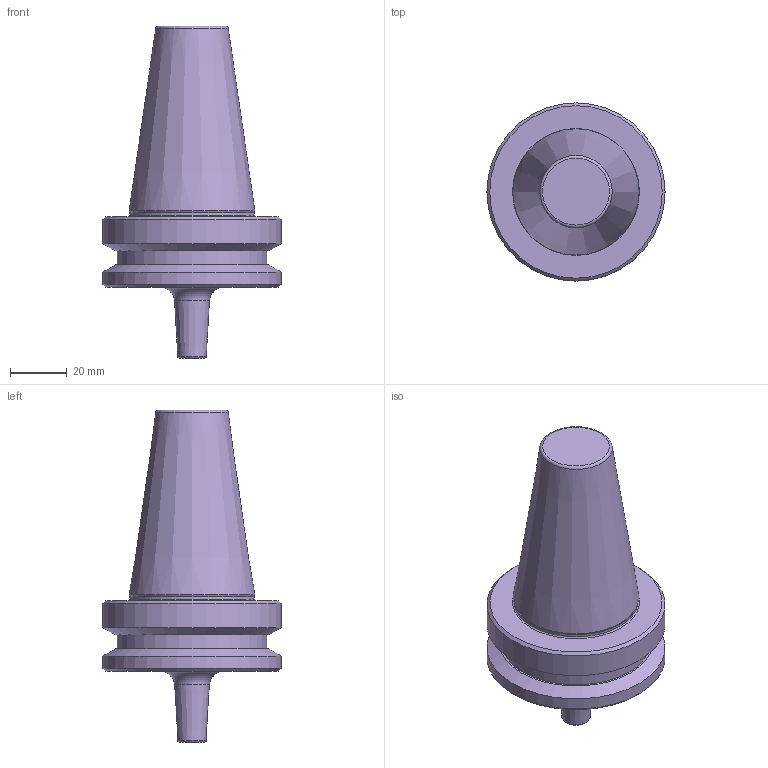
import cadquery as cq
import math


gauge_radius = 44.45 / 2
taper_length = 65.4
taper_ratio = 7 / 24
shank_end_fillet = 1.0

neck_height = 2.0
undercut_depth = 0.3
undercut_ramp = 0.6
neck_root_fillet = 0.5

flange_radius = 63 / 2
flange_height = 25.0
flange_chamfer = 1.0
groove_center_z = -16.6
groove_mouth_width = 10.0
groove_floor_width = 5.0
groove_floor_radius = 53 / 2
groove_flank_angle = 30.0

nose_length = 25.0
nose_tip_radius = 5.0
nose_half_angle = 3.3
nose_root_fillet = 5.0
nose_tip_fillet = 0.5

flange_top_z = -neck_height
flange_bottom_z = flange_top_z - flange_height
nose_tip_z = flange_bottom_z - nose_length
shank_end_radius = gauge_radius - taper_length * taper_ratio / 2
nose_root_radius = nose_tip_radius + nose_length * math.tan(math.radians(nose_half_angle))
neck_radius = gauge_radius - undercut_depth
flank_height = (groove_mouth_width - groove_floor_width) / 2
flank_foot_radius = flange_radius - flank_height / math.tan(math.radians(groove_flank_angle))


def revolve_profile(points):
    """Revolve a closed (radius, z) outline about the Z axis."""
    return cq.Workplane("XZ").polyline(points).close().revolve(360, (0, 0, 0), (0, 1, 0))


def make_body():
    """Shank, neck, flange and nose as one turned solid with sharp edges."""
    return revolve_profile([
        (0, taper_length),
        (shank_end_radius, taper_length),
        (gauge_radius, 0),
        (neck_radius, -undercut_ramp),
        (neck_radius, flange_top_z),
        (flange_radius, flange_top_z),
        (flange_radius, flange_bottom_z),
        (nose_root_radius, flange_bottom_z),
        (nose_tip_radius, nose_tip_z),
        (0, nose_tip_z),
    ])


def make_groove():
    """Ring that cuts the gripper groove: sloped flanks down to a short straight-sided floor."""
    half_mouth = groove_mouth_width / 2
    half_floor = groove_floor_width / 2
    return revolve_profile([
        (flange_radius, groove_center_z + half_mouth),
        (flank_foot_radius, groove_center_z + half_floor),
        (groove_floor_radius, groove_center_z + half_floor),
        (groove_floor_radius, groove_center_z - half_floor),
        (flank_foot_radius, groove_center_z - half_floor),
        (flange_radius, groove_center_z - half_mouth),
    ])


def rim_edge(radius, z):
    """Select the circular edge of a given radius at a given height."""
    tolerance = 0.01
    reach = radius + tolerance
    inner_reach = radius - tolerance
    low_z = z - tolerance
    high_z = z + tolerance
    outer = cq.selectors.BoxSelector((-reach, -reach, low_z), (reach, reach, high_z), boundingbox=True)
    inner = cq.selectors.BoxSelector(
        (-inner_reach, -inner_reach, low_z),
        (inner_reach, inner_reach, high_z),
        boundingbox=True,
    )
    return outer - inner


def break_edges(body):
    """Fillet the shank end, both roots and the nose tip, and chamfer the flange rims."""
    body = body.edges(rim_edge(shank_end_radius, taper_length)).fillet(shank_end_fillet)
    body = body.edges(rim_edge(neck_radius, flange_top_z)).fillet(neck_root_fillet)
    body = body.edges(rim_edge(nose_root_radius, flange_bottom_z)).fillet(nose_root_fillet)
    for rim_z in (flange_top_z, flange_bottom_z):
        body = body.edges(rim_edge(flange_radius, rim_z)).chamfer(flange_chamfer)
    return body.edges(rim_edge(nose_tip_radius, nose_tip_z)).fillet(nose_tip_fillet)


result = break_edges(make_body()).cut(make_groove())